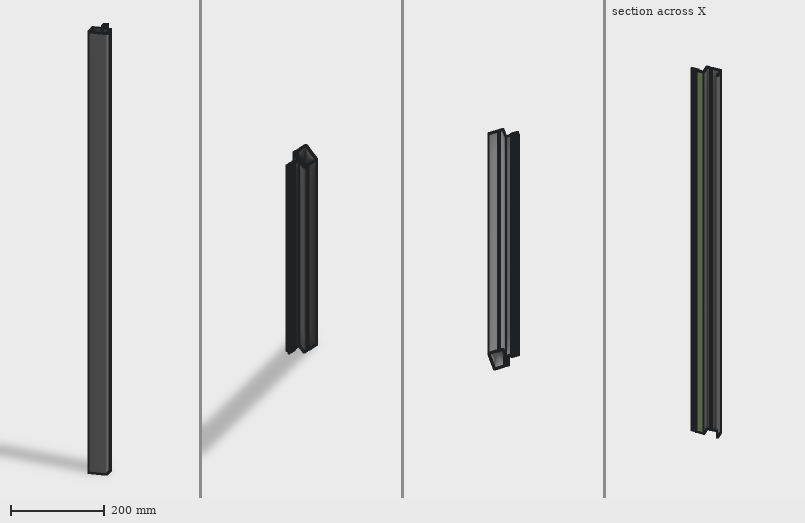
import cadquery as cq

length = 1000.0
width = 42.0
depth = 62.0

wall = 2.0
box_depth = 34.1
outer_radius = 2.0
inner_radius = 1.0

side_groove_drop = 9.9
side_groove_depth = 2.0
bead_height = 2.0

stem_width = 3.6
head_width = 8.6
head_depth = 15.8
channel_width = 4.6
channel_depth = 12.0

grip_radius = 1.2
grip_pitch = 5.6
grip_count = 3
first_grip_inset = 3.2

front_y = -depth / 2
back_y = depth / 2
box_back_y = front_y + box_depth
box_center_y = front_y + box_depth / 2
side_groove_y = box_back_y - side_groove_drop
sides = (-1, 1)


def bar(size_x, size_y, center_y):
    """Full-length rectangular bar, centred on the YZ plane."""
    return cq.Workplane("XY").box(size_x, size_y, length).translate((0, center_y, 0))


def side_wedge(side, base_x, height):
    """Full-length 45 degree wedge with its base at base_x and its tip towards the middle."""
    return (
        cq.Workplane("XY", origin=(0, 0, -length / 2))
        .moveTo(side * base_x, side_groove_y + height)
        .lineTo(side * (base_x - height), side_groove_y)
        .lineTo(side * base_x, side_groove_y - height)
        .close()
        .extrude(length)
    )


def hollow_box():
    outside = bar(width, box_depth, box_center_y).edges("|Z").fillet(outer_radius)
    inner_width = width - 2 * wall
    inner_depth = box_depth - 2 * wall
    cavity = bar(inner_width, inner_depth, box_center_y).edges("|Z").fillet(inner_radius)
    tube = outside.cut(cavity)
    for side in sides:
        tube = tube.union(side_wedge(side, inner_width / 2, bead_height))
        tube = tube.cut(side_wedge(side, width / 2, side_groove_depth))
    return tube


def stem():
    stem_depth = depth - box_depth - head_depth
    return bar(stem_width, stem_depth, box_back_y + stem_depth / 2)


def grip_groove(side, groove_y):
    return (
        cq.Workplane("XY", origin=(side * head_width / 2, groove_y, -length / 2))
        .circle(grip_radius)
        .extrude(length)
    )


def gripping_head():
    head = bar(head_width, head_depth, back_y - head_depth / 2)
    head = head.cut(bar(channel_width, channel_depth, back_y - channel_depth / 2))
    for side in sides:
        for index in range(grip_count):
            groove_y = back_y - first_grip_inset - index * grip_pitch
            head = head.cut(grip_groove(side, groove_y))
    return head


result = hollow_box().union(stem()).union(gripping_head())